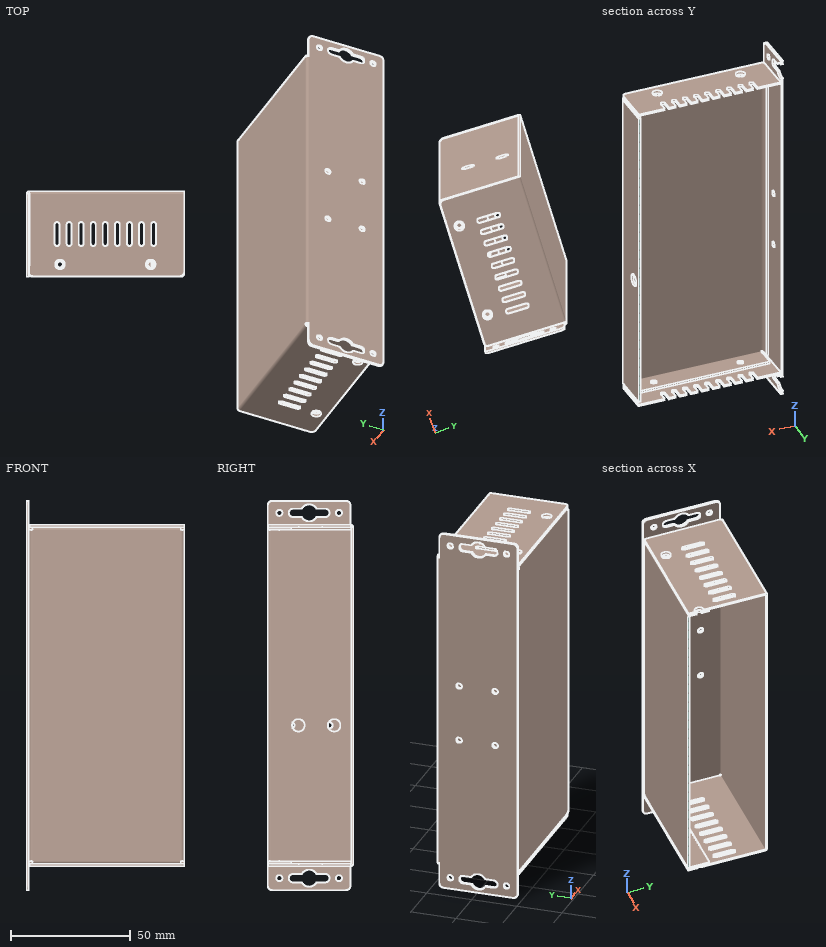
import cadquery as cq

TOTAL_X = 66.0
TOTAL_Y = 35.9
PLATE_HEIGHT = 163.0
BOX_HEIGHT = 143.0

SHEET = 1.0
BEND_RADIUS = 1.1
SIDE_BEND_RADIUS = 1.5
PLATE_CORNER_RADIUS = 2.0
WALL_OUTER_CORNER_RADIUS = 2.0
WALL_INNER_CORNER_RADIUS = 1.0
WALL_SETBACK = 0.3

BACK_Y = TOTAL_Y / 2
FRONT_Y = -TOTAL_Y / 2
BOX_TOP = BOX_HEIGHT / 2
PLATE_EDGE_Y = BACK_Y - BEND_RADIUS
PLATE_MID_Y = (PLATE_EDGE_Y + FRONT_Y) / 2

COVER_TOP = BOX_TOP - SHEET
COVER_LEFT = SHEET
SIDE_LIP_DEPTH = 4.9
SCREW_LIP_DEPTH = 9.8
WALL_DEPTH = TOTAL_Y - SHEET

MOUNT_INSET = 5.0
KEYHOLE_DIAMETER = 7.0
KEYHOLE_SLOT_LENGTH = 17.0
KEYHOLE_SLOT_WIDTH = 3.5
MOUNT_HOLE_DIAMETER = 2.5
MOUNT_HOLE_SPACING = 25.0

RAIL_HOLE_DIAMETER = 2.5
RAIL_HOLE_SPACING_Y = 16.0
RAIL_HOLE_SPACING_Z = 25.0

END_FEATURE_X = 33.0
VENT_COUNT = 9
VENT_PITCH = 5.0
VENT_WIDTH = 2.0
VENT_LENGTH = 10.0
SCREW_SPACING = 38.0
SCREW_Y = -12.7
COVER_SCREW_HOLE_DIAMETER = 2.5
WALL_SCREW_HOLE_DIAMETER = 3.0
COUNTERSINK_DIAMETER = 4.0
LOWER_SCREW_SHIFT = 1.6

PORT_DIAMETER = 5.2
PORT_SPACING = 15.0
PORT_MID_Y = 2.5
PORT_Z = -RAIL_HOLE_SPACING_Z / 2


def box_between(x_range, y_range, z_range):
    """Box given by its lower and upper limit along each axis."""
    (x0, x1), (y0, y1), (z0, z1) = x_range, y_range, z_range
    return cq.Workplane("XY").box(x1 - x0, y1 - y0, z1 - z0, centered=False).translate((x0, y0, z0))


def bent_sheet(x_range, y_range, z_range, bend_edges, bend_radius, cavity_shift):
    """Outer block with rounded bend edges, hollowed by a copy of itself one sheet further in.

    cavity_shift gives, for each axis, how many sheet thicknesses the cavity
    moves its lower and upper limit; an outward move opens that side.
    """
    inner_ranges = [
        (low + SHEET * shift_low, high + SHEET * shift_high)
        for (low, high), (shift_low, shift_high) in zip((x_range, y_range, z_range), cavity_shift)
    ]
    outer = box_between(x_range, y_range, z_range).edges(bend_edges).fillet(bend_radius)
    inner = box_between(*inner_ranges).edges(bend_edges).fillet(bend_radius - SHEET)
    return outer.cut(inner)


def holes_along_x(points, diameter, x_start, length):
    """Cylinders along X at (y, z) points."""
    plane = cq.Workplane("YZ").workplane(offset=x_start)
    return plane.pushPoints(points).circle(diameter / 2).extrude(length)


def mounting_plate():
    plate = (
        cq.Workplane("YZ")
        .center(PLATE_MID_Y, 0)
        .rect(PLATE_EDGE_Y - FRONT_Y, PLATE_HEIGHT)
        .extrude(SHEET)
        .edges("|X")
        .fillet(PLATE_CORNER_RADIUS)
    )
    for end in (-1, 1):
        z = end * (PLATE_HEIGHT / 2 - MOUNT_INSET)
        slot = (
            cq.Workplane("YZ")
            .center(PLATE_MID_Y, z)
            .slot2D(KEYHOLE_SLOT_LENGTH, KEYHOLE_SLOT_WIDTH)
            .extrude(SHEET)
        )
        side_points = [(PLATE_MID_Y + side * MOUNT_HOLE_SPACING / 2, z) for side in (-1, 1)]
        plate = plate.cut(slot)
        plate = plate.cut(holes_along_x([(PLATE_MID_Y, z)], KEYHOLE_DIAMETER, 0, SHEET))
        plate = plate.cut(holes_along_x(side_points, MOUNT_HOLE_DIAMETER, 0, SHEET))

    rail_points = [
        (side * RAIL_HOLE_SPACING_Y / 2, end * RAIL_HOLE_SPACING_Z / 2)
        for side in (-1, 1)
        for end in (-1, 1)
    ]
    return plate.cut(holes_along_x(rail_points, RAIL_HOLE_DIAMETER, 0, SHEET))


def plate_bend():
    """Quarter-round bend that joins the mounting plate to the back wall."""
    inner_radius = BEND_RADIUS - SHEET
    half_height = BOX_TOP - BEND_RADIUS
    ring = (
        cq.Workplane("XY")
        .workplane(offset=-half_height)
        .center(BEND_RADIUS, PLATE_EDGE_Y)
        .circle(BEND_RADIUS)
        .circle(inner_radius)
        .extrude(2 * half_height)
    )
    quarter = box_between((0, BEND_RADIUS), (PLATE_EDGE_Y, BACK_Y), (-half_height, half_height))
    return ring.intersect(quarter)


def back_and_end_walls():
    """Back wall with the upper and lower end walls bent forward from it."""
    front_edge = FRONT_Y + WALL_SETBACK
    walls = bent_sheet(
        (BEND_RADIUS, TOTAL_X),
        (front_edge, BACK_Y),
        (-BOX_TOP, BOX_TOP),
        "|X and >Y",
        BEND_RADIUS,
        ((-1, 1), (-1, -1), (1, -1)),
    )
    walls = walls.edges("|Z and <Y and >X").fillet(WALL_OUTER_CORNER_RADIUS)
    return walls.edges("|Z and <Y and <X").fillet(WALL_INNER_CORNER_RADIUS)


def vent_slots():
    return (
        cq.Workplane("XY")
        .workplane(offset=-BOX_TOP)
        .center(END_FEATURE_X, 0)
        .rarray(VENT_PITCH, 1.6, VENT_COUNT, 1)
        .slot2D(VENT_LENGTH, VENT_WIDTH, 90)
        .extrude(BOX_HEIGHT)
    )


def screw_x_positions(end):
    """X of the two cover screws; on the lower wall the far one sits further out."""
    near_x = END_FEATURE_X - SCREW_SPACING / 2
    far_x = END_FEATURE_X + SCREW_SPACING / 2
    if end < 0:
        far_x += LOWER_SCREW_SHIFT
    return near_x, far_x


def screw_cutters(outer_diameter, inner_diameter, depth):
    """Cutters at every cover screw, straight or tapered, running inward from the end walls' outer faces."""
    outer_radius = outer_diameter / 2
    inner_radius = inner_diameter / 2
    cutters = []
    for end in (-1, 1):
        inward = cq.Vector(0, 0, -end)
        for x in screw_x_positions(end):
            start = cq.Vector(x, SCREW_Y, end * BOX_TOP)
            if outer_radius == inner_radius:
                cutter = cq.Solid.makeCylinder(outer_radius, depth, start, inward)
            else:
                cutter = cq.Solid.makeCone(outer_radius, inner_radius, depth, start, inward)
            cutters.append(cutter)
    return cq.Workplane("XY").newObject([cq.Compound.makeCompound(cutters)])


def make_chassis():
    chassis = mounting_plate().union(plate_bend()).union(back_and_end_walls())
    countersinks = screw_cutters(COUNTERSINK_DIAMETER, WALL_SCREW_HOLE_DIAMETER, SHEET)
    return chassis.cut(vent_slots()).cut(countersinks)


def make_cover():
    """Front panel with a far wall, a side lip and two screw lips bent back from it."""
    x_range = (COVER_LEFT, TOTAL_X)
    z_range = (-COVER_TOP, COVER_TOP)
    x_inside = (COVER_LEFT + SIDE_BEND_RADIUS, TOTAL_X - SIDE_BEND_RADIUS)
    z_inside = (-COVER_TOP + BEND_RADIUS, COVER_TOP - BEND_RADIUS)

    sides = bent_sheet(
        x_range,
        (FRONT_Y, FRONT_Y + WALL_DEPTH),
        z_inside,
        "|Z and <Y",
        SIDE_BEND_RADIUS,
        ((1, -1), (1, 1), (-1, 1)),
    )
    lip_trim = box_between(
        (COVER_LEFT, TOTAL_X / 2),
        (FRONT_Y + SIDE_LIP_DEPTH, BACK_Y),
        z_range,
    )
    screw_lips = bent_sheet(
        x_inside,
        (FRONT_Y, FRONT_Y + SCREW_LIP_DEPTH),
        z_range,
        "|X and <Y",
        BEND_RADIUS,
        ((-1, 1), (1, 1), (1, -1)),
    )
    port_points = [(PORT_MID_Y + side * PORT_SPACING / 2, PORT_Z) for side in (-1, 1)]
    ports = holes_along_x(port_points, PORT_DIAMETER, TOTAL_X - SHEET, SHEET)
    screw_holes = screw_cutters(COVER_SCREW_HOLE_DIAMETER, COVER_SCREW_HOLE_DIAMETER, 2 * SHEET)
    return sides.cut(lip_trim).union(screw_lips).cut(screw_holes).cut(ports)


chassis = make_chassis()
cover = make_cover()

result = cq.Compound.makeCompound([chassis.solids().val(), cover.solids().val()])